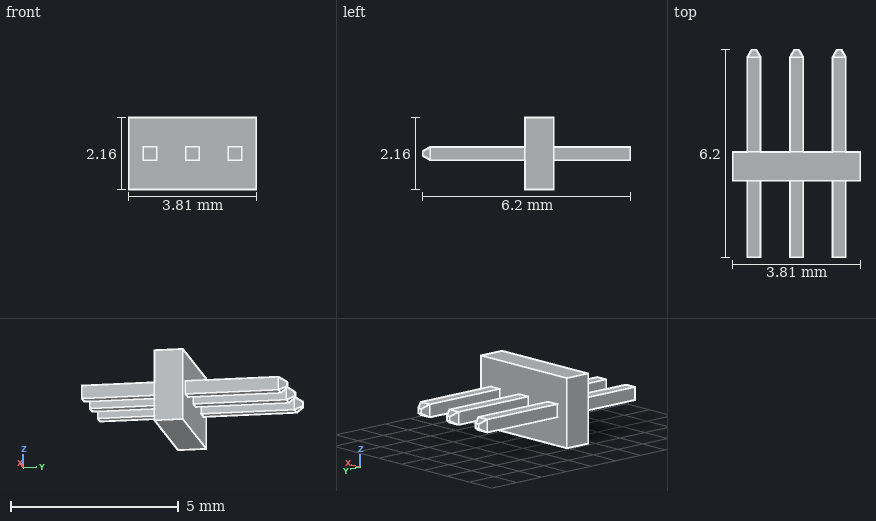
import cadquery as cq

pin_count = 3
pin_pitch = 1.27
overall_length = 6.2

housing_width = pin_count * pin_pitch
housing_thickness = 0.86
housing_height = 2.16

pin_side = 0.4
front_pin_length = 2.29
tip_length = 0.23
tip_side = 0.14

housing_front_y = -housing_thickness / 2
pin_front_y = housing_front_y - front_pin_length
shank_length = overall_length - tip_length
tip_base_y = pin_front_y + shank_length

pin_positions = [(i - (pin_count - 1) / 2) * pin_pitch for i in range(pin_count)]
middle_pin_index = pin_count // 2


def make_pin(x):
    """Square pin with a tapered tip at its +Y end."""
    shank = cq.Workplane("XY").box(pin_side, shank_length, pin_side)
    shank = shank.translate((x, pin_front_y + shank_length / 2, 0))
    tip_plane = cq.Plane(origin=(x, tip_base_y, 0), xDir=(1, 0, 0), normal=(0, 1, 0))
    tip = (
        cq.Workplane(tip_plane)
        .rect(pin_side, pin_side)
        .workplane(offset=tip_length)
        .rect(tip_side, tip_side)
        .loft(ruled=True)
    )
    return shank.union(tip)


def make_housing(fixed_pin, loose_pins):
    """Rectangular block with the fixed pin moulded in and a through hole for each loose pin."""
    block = cq.Workplane("XY").box(housing_width, housing_thickness, housing_height)
    for pin in loose_pins:
        block = block.cut(pin)
    return block.union(fixed_pin)


fixed_pin = make_pin(pin_positions[middle_pin_index])
outer_pins = [make_pin(x) for i, x in enumerate(pin_positions) if i != middle_pin_index]
housing = make_housing(fixed_pin, outer_pins)

result = cq.Compound.makeCompound([housing.val(), *[pin.val() for pin in outer_pins]])